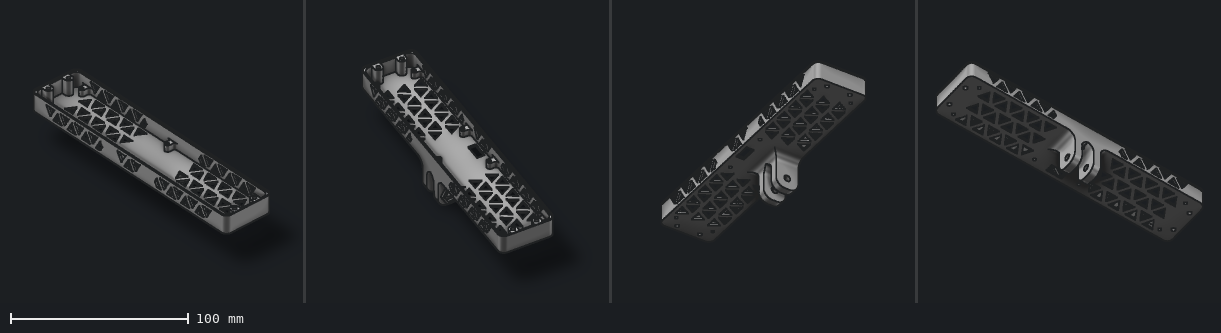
import cadquery as cq
import math

length = 165.0
width = 35.0
box_height = 12.5
total_height = 34.2
corner_radius = 4.0
wall = 1.5
floor = 1.5
lip_width = 0.5
lip_height = 0.5
ledge_z = box_height - lip_height

triangle_height = 6.1
triangle_side = triangle_height * 2 / math.sqrt(3)
row_height = 7.5
wall_row_reach = 66.0
wall_steps = 11
wall_spacing = wall_row_reach / wall_steps
trimmed_step = 4
floor_row_start = 23.5
floor_row_end = 65.5
floor_columns = 8
floor_spacing = (floor_row_end - floor_row_start) / (floor_columns - 1)
floor_row_spacing = 10.7
floor_rows_y = -0.25

opening_length = 10.5
opening_width = 5.0
opening_y = -12.2

post_x = 78.5
post_y = 7.6
post_hole_radius = 1.24
post_skin = 1.5
post_radius = post_hole_radius + post_skin

boss_y = 12.2
boss_top = 6.0
boss_hole_radius = 0.9
boss_skin = 1.0
boss_radius = boss_hole_radius + boss_skin
boss_root_radius = 1.8
end_boss_x = 72.3
middle_boss_x = 15.5

fork_half_width = 9.0
slot_half_width = 4.1
fork_depth = 14.8
fork_bottom = box_height - total_height
fork_back = width / 2
fork_front = fork_back - fork_depth
fork_mid_y = fork_back - fork_depth / 2
side_root_radius = 5.8
front_root_radius = 5.0
fork_tip_radius = 6.0
slot_arch_radius = 6.3
slot_arch_z = -7.8
pin_z = fork_bottom + fork_depth / 2
pin_radius = 2.0
hex_boss_flats = 10.0
hex_pocket_flats = 7.1
hex_boss_height = 2.0


def rounded_block(inset, radius, bottom, top):
    """Tray outline moved inwards by inset, with its own corner radius, between two heights."""
    return (
        cq.Workplane("XY")
        .workplane(offset=bottom)
        .rect(length - 2 * inset, width - 2 * inset)
        .extrude(top - bottom)
        .edges("|Z")
        .fillet(radius)
    )


def triangle(x, row_centre, direction):
    """Corners of one window; direction is 1 for pointing up and -1 for pointing down."""
    base = row_centre - direction * row_height / 2
    apex = base + direction * triangle_height
    return [(x - triangle_side / 2, base), (x + triangle_side / 2, base), (x, apex)]


def trimmed_triangle(x, row_centre):
    """Upright window whose base corner nearest X = 0 is cut off halfway along both edges."""
    outer, inner, apex = triangle(x, row_centre, 1)
    if x > 0:
        outer, inner = inner, outer
    base_middle = ((outer[0] + inner[0]) / 2, inner[1])
    edge_middle = ((inner[0] + apex[0]) / 2, (inner[1] + apex[1]) / 2)
    return [outer, base_middle, edge_middle, apex]


def wall_prism(points, y_start, y_end):
    """Prism along Y from an outline in X and Z."""
    return (
        cq.Workplane("XZ", origin=(0, y_start, 0))
        .polyline(points)
        .close()
        .extrude(y_start - y_end)
    )


def wall_windows():
    """Windows through both long walls, plus three in the middle of the front wall."""
    row_centre = box_height / 2
    cutters = cq.Workplane("XY")
    for step in range(-wall_steps, wall_steps + 1):
        x = step * wall_spacing
        direction = 1 if step % 2 == 0 else -1
        if abs(step) > trimmed_step:
            cutters.add(wall_prism(triangle(x, row_centre, direction), -width, width))
        elif abs(step) == trimmed_step:
            cutters.add(wall_prism(trimmed_triangle(x, row_centre), -width, width))
        elif abs(step) <= 1:
            inner_face = wall - width / 2
            cutters.add(wall_prism(triangle(x, row_centre, direction), -width, inner_face))
    return cutters.combine()


def floor_windows():
    """Three rows of windows on each half of the floor."""
    cutters = cq.Workplane("XY")
    for side in (-1, 1):
        for column in range(floor_columns):
            x = side * (floor_row_start + column * floor_spacing)
            direction = -1 if column % 2 == 0 else 1
            for row in (-1, 0, 1):
                y = floor_rows_y + row * floor_row_spacing
                points = triangle(x, y, direction)
                cutters.add(cq.Workplane("XY").polyline(points).close().extrude(floor))
    return cutters.combine()


def cover_post(x_side, y_side):
    """Round post joined to its end wall, level with the cover ledge."""
    x = x_side * post_x
    wall_x = x_side * (length / 2 - wall / 2)
    web = cq.Workplane("XY").box(abs(wall_x - x), 2 * post_radius, ledge_z, centered=(True, True, False))
    web = web.translate(((x + wall_x) / 2, y_side * post_y, 0))
    return cq.Workplane("XY").center(x, y_side * post_y).circle(post_radius).extrude(ledge_z).union(web)


def wall_boss(x, y_side):
    """Low rounded boss that flares into the long wall with two concave roots."""
    wall_y = width / 2 - wall
    root_y = wall_y - boss_root_radius
    root_x = boss_radius + boss_root_radius
    arc_offset = boss_root_radius * math.sqrt(0.5)
    flare = (root_x - arc_offset, root_y + arc_offset)
    outline = (
        cq.Workplane("XY")
        .moveTo(-root_x, wall_y)
        .threePointArc((-flare[0], flare[1]), (-boss_radius, root_y))
        .lineTo(-boss_radius, boss_y)
        .threePointArc((0, boss_y - boss_radius), (boss_radius, boss_y))
        .lineTo(boss_radius, root_y)
        .threePointArc(flare, (root_x, wall_y))
        .lineTo(root_x, wall_y + wall / 2)
        .lineTo(-root_x, wall_y + wall / 2)
        .close()
    )
    boss = outline.extrude(boss_top)
    if y_side < 0:
        boss = boss.mirror("XZ")
    return boss.translate((x, 0, 0))


def drilled_holes(points, radius):
    """Vertical drills that pass through the whole height of the part."""
    return (
        cq.Workplane("XY")
        .workplane(offset=fork_bottom)
        .pushPoints(points)
        .circle(radius)
        .extrude(total_height)
    )


def hexagon(flats, height):
    """Hexagonal prism on the left fork face, around the pin axis, growing towards -X."""
    return (
        cq.Workplane("YZ", origin=(-fork_half_width, fork_mid_y, pin_z))
        .polygon(6, flats * 2 / math.sqrt(3))
        .extrude(-height)
    )


def fork_front_profile():
    """Fork seen along Y: straight sides that flare into the tray with concave roots."""
    root_x = fork_half_width + side_root_radius
    arc_offset = side_root_radius * math.sqrt(0.5)
    flare = (root_x - arc_offset, arc_offset - side_root_radius)
    return (
        cq.Workplane("XZ", origin=(0, fork_back, 0))
        .moveTo(-root_x, 0)
        .threePointArc((-flare[0], flare[1]), (-fork_half_width, -side_root_radius))
        .lineTo(-fork_half_width, fork_bottom)
        .lineTo(fork_half_width, fork_bottom)
        .lineTo(fork_half_width, -side_root_radius)
        .threePointArc(flare, (root_x, 0))
        .lineTo(root_x, floor)
        .lineTo(-root_x, floor)
        .close()
        .extrude(fork_depth + front_root_radius)
    )


def fork_side_profile():
    """Fork seen along X: rounded tip and a concave root on the front side."""
    root_y = fork_front - front_root_radius
    arc_offset = front_root_radius * math.sqrt(0.5)
    half_length = fork_half_width + side_root_radius
    tip_offset = fork_tip_radius * (1 - math.sqrt(0.5))
    tip_z = fork_bottom + fork_tip_radius
    return (
        cq.Workplane("YZ", origin=(-half_length, 0, 0))
        .moveTo(root_y, 0)
        .threePointArc(
            (root_y + arc_offset, arc_offset - front_root_radius), (fork_front, -front_root_radius)
        )
        .lineTo(fork_front, tip_z)
        .threePointArc(
            (fork_front + tip_offset, fork_bottom + tip_offset), (fork_front + fork_tip_radius, fork_bottom)
        )
        .lineTo(fork_back - fork_tip_radius, fork_bottom)
        .threePointArc((fork_back - tip_offset, fork_bottom + tip_offset), (fork_back, tip_z))
        .lineTo(fork_back, floor)
        .lineTo(root_y, floor)
        .close()
        .extrude(2 * half_length)
    )


def fork_slot():
    """Slot between the prongs, closed at the top by a pointed arch of two arcs."""
    arc_centre = slot_arch_radius - slot_half_width
    peak_z = slot_arch_z + math.sqrt(slot_arch_radius**2 - arc_centre**2)
    mid_x = slot_half_width / 2
    mid_z = slot_arch_z + math.sqrt(slot_arch_radius**2 - (mid_x + arc_centre) ** 2)
    return (
        cq.Workplane("XZ", origin=(0, fork_back, 0))
        .moveTo(-slot_half_width, fork_bottom)
        .lineTo(-slot_half_width, slot_arch_z)
        .threePointArc((-mid_x, mid_z), (0, peak_z))
        .threePointArc((mid_x, mid_z), (slot_half_width, slot_arch_z))
        .lineTo(slot_half_width, fork_bottom)
        .close()
        .extrude(fork_depth + front_root_radius)
    )


def hinge_fork():
    """Two prongs with a pin hole and a hexagonal nut holder on the left prong."""
    fork = fork_front_profile().intersect(fork_side_profile()).cut(fork_slot())
    fork = fork.union(hexagon(hex_boss_flats, hex_boss_height))
    fork = fork.cut(hexagon(hex_pocket_flats, hex_boss_height))
    pin_hole = (
        cq.Workplane("YZ", origin=(-fork_half_width, fork_mid_y, pin_z))
        .circle(pin_radius)
        .extrude(2 * fork_half_width)
    )
    return fork.cut(pin_hole)


tray = rounded_block(0, corner_radius, 0, box_height)
tray = tray.cut(rounded_block(wall, corner_radius, floor, box_height))
tray = tray.cut(rounded_block(lip_width, corner_radius - lip_width, ledge_z, box_height))
tray = tray.cut(wall_windows()).cut(floor_windows())
opening = cq.Workplane("XY").center(0, opening_y).rect(opening_length, opening_width).extrude(floor)
tray = tray.cut(opening)

post_sides = [(-1, -1), (-1, 1), (1, -1), (1, 1)]
for x_side, y_side in post_sides:
    tray = tray.union(cover_post(x_side, y_side))

boss_places = [(x_side * end_boss_x, y_side) for x_side, y_side in post_sides]
boss_places += [(-middle_boss_x, -1), (middle_boss_x, -1), (0, 1)]
for x, y_side in boss_places:
    tray = tray.union(wall_boss(x, y_side))

post_points = [(x_side * post_x, y_side * post_y) for x_side, y_side in post_sides]
boss_points = [(x, y_side * boss_y) for x, y_side in boss_places]

result = tray.union(hinge_fork())
result = result.cut(drilled_holes(post_points, post_hole_radius))
result = result.cut(drilled_holes(boss_points, boss_hole_radius))